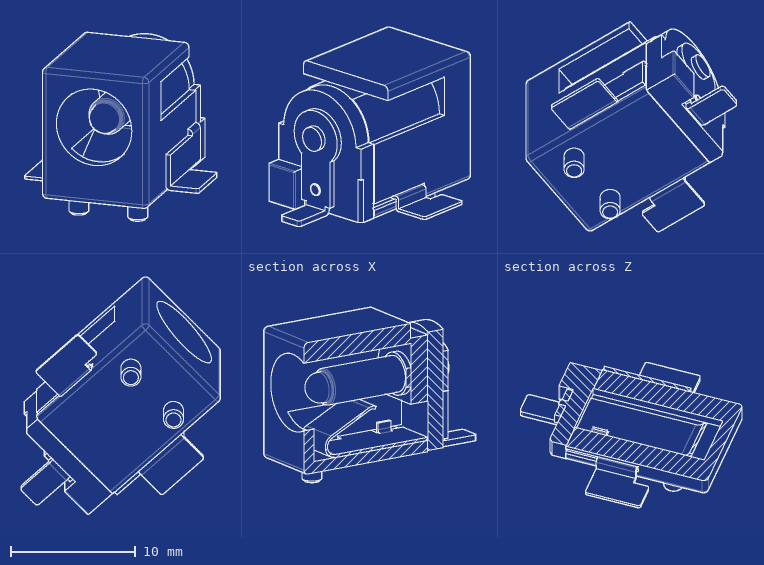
import cadquery as cq
import math


housing_width = 9.0
housing_height = 11.0
housing_length = 11.97
edge_radius = 0.41
half_width = housing_width / 2
top_step_y = 10.31
barrel_radius = 3.95
barrel_top_z = 9.78
side_relief_y = 3.42

axis_z = 6.5
bore_diameter = 6.4
bore_end_y = 10.35
channel_half_width = 2.24
channel_start_y = 1.01
channel_top_z = 4.22

peg_diameter = 1.6
peg_length = 2.0
peg_chamfer = 0.2
peg_x = 2.5
peg_y = 3.5

cap_inset = 0.1
cap_thickness = 1.49
cap_rear_y = housing_length + cap_thickness
cap_half_width = half_width - cap_inset
cap_chamfer = 0.3
cap_chamfer_top_z = 3.81
block_inner_x = 1.6
block_depth = 1.23
block_top_z = 3.39
block_edge_radius = 0.1
stud_diameter = 1.0
stud_z = 2.05
stud_projection = 0.12
stud_chamfer = 0.05

pin_tip_y = 1.4
dome_diameter = 2.5
shaft_diameter = 3.0
shaft_start_y = 3.0
shaft_edge_radius = 0.1
shaft_root_radius = 0.07
flange_diameter = 3.5
flange_thickness = 0.5
shank_diameter = 2.0
shank_end_y = 14.4

plate_thickness = 0.5
plate_disc_radius = 2.29
plate_arm_half_width = 1.52
plate_arm_bottom_z = 0.82
plate_bend_radius = 0.41
plate_rear_y = cap_rear_y + plate_thickness
tail_half_width = 1.01
tail_end_y = 17.1
tail_corner_radius = 0.25

spring_thickness = 0.25
spring_tab_x = -7.52
spring_tab_front_y = 4.62
spring_tab_notch_x = -5.23
spring_web_front_y = 5.97
spring_web_rear_y = 9.3
spring_base_z = 1.0
spring_base_rear_y = 11.94
spring_left_x = -1.97
spring_right_x = 1.55
tab_corner_radius = 0.2
loop_y = 3.03
loop_radius = 0.97
ramp_angle = math.radians(25.6)
crest_radius = 0.85
crest_top_z = 4.69
ear_front_y = 9.37
ear_rear_y = 10.6
ear_top_z = 2.05
ear_bend_radius = 0.51

spring_slot_front_y = 5.83
spring_slot_top_z = 1.39
spring_slot_chamfer = 0.17

switch_thickness = 0.4
switch_tab_x = 7.27
switch_tab_z = 0.3
switch_front_y = 4.58
switch_tab_rear_y = 9.27
switch_arm_front_y = 10.02
switch_rear_y = 11.94
switch_web_top_z = 3.3
switch_arm_z = 3.42

quarter_arc_mid = math.sqrt(0.5)


def box(x, y, z):
    """Box spanning the given (low, high) ranges."""
    size = (x[1] - x[0], y[1] - y[0], z[1] - z[0])
    return cq.Workplane("XY").box(*size, centered=False).translate((x[0], y[0], z[0]))


def cylinder_y(radius, y_start, y_end, z=axis_z):
    """Cylinder along Y on the x = 0 plane."""
    return cq.Workplane("XZ", origin=(0, y_start, z)).circle(radius).extrude(y_start - y_end)


def terminal_strip(side, tab_x, tab_z, thickness, arm_z, arm_end_x, y_range):
    """Strip bent from a flat tab up the housing wall and inward; side is -1 or +1."""
    wall_x = side * half_width
    web_x = side * (half_width + thickness)
    offset = thickness * quarter_arc_mid
    lower_mid = (web_x - side * offset, tab_z + thickness - offset)
    upper_mid = (wall_x + side * offset, arm_z + offset)
    return (
        cq.Workplane("XZ", origin=(0, y_range[0], 0))
        .moveTo(tab_x, tab_z)
        .lineTo(web_x, tab_z)
        .threePointArc(lower_mid, (wall_x, tab_z + thickness))
        .lineTo(wall_x, arm_z)
        .lineTo(arm_end_x, arm_z)
        .lineTo(arm_end_x, arm_z + thickness)
        .lineTo(wall_x, arm_z + thickness)
        .threePointArc(upper_mid, (web_x, arm_z))
        .lineTo(web_x, tab_z + thickness)
        .lineTo(tab_x, tab_z + thickness)
        .close()
        .extrude(y_range[0] - y_range[1])
    )


def make_housing():
    body = box((-half_width, half_width), (0, housing_length), (0, housing_height))
    body = body.edges("|Y or <Y").fillet(edge_radius)

    barrel = cylinder_y(barrel_radius, 0, housing_length)
    relief = box(
        (-half_width, half_width), (side_relief_y, housing_length), (axis_z, barrel_top_z)
    ).cut(barrel)
    top_step = box(
        (-half_width, half_width), (top_step_y, housing_length), (barrel_top_z, housing_height)
    )
    body = body.cut(relief).cut(top_step)

    body = body.cut(cylinder_y(bore_diameter / 2, 0, bore_end_y))
    channel = box(
        (-channel_half_width, channel_half_width),
        (channel_start_y, housing_length),
        (spring_base_z, channel_top_z),
    )
    body = body.cut(channel)
    body = body.cut(cylinder_y(shank_diameter / 2, bore_end_y, housing_length))

    spring_slot = (
        cq.Workplane("XZ", origin=(0, spring_slot_front_y, 0))
        .moveTo(-half_width, spring_base_z - spring_slot_chamfer)
        .lineTo(-half_width + spring_slot_chamfer, spring_base_z)
        .lineTo(-channel_half_width, spring_base_z)
        .lineTo(-channel_half_width, spring_slot_top_z)
        .lineTo(-half_width, spring_slot_top_z)
        .close()
        .extrude(spring_slot_front_y - housing_length)
    )
    switch_slot = box(
        (channel_half_width, half_width),
        (switch_arm_front_y, housing_length),
        (switch_arm_z, switch_arm_z + switch_thickness),
    )
    body = body.cut(spring_slot).cut(switch_slot)

    for x in (-peg_x, peg_x):
        peg = (
            cq.Workplane("XY", origin=(x, peg_y, 0))
            .circle(peg_diameter / 2)
            .extrude(-peg_length)
            .faces("<Z")
            .chamfer(peg_chamfer)
        )
        body = body.union(peg)
    return body


def make_cap():
    body = box((-cap_half_width, cap_half_width), (housing_length, cap_rear_y), (cap_inset, axis_z))
    body = body.union(cylinder_y(barrel_radius - cap_inset, housing_length, cap_rear_y))

    corner_cut = (
        cq.Workplane("XY", origin=(0, 0, cap_inset))
        .moveTo(-cap_half_width, cap_rear_y)
        .lineTo(-cap_half_width + cap_chamfer, cap_rear_y)
        .lineTo(-cap_half_width, cap_rear_y - cap_chamfer)
        .close()
        .extrude(cap_chamfer_top_z - cap_inset)
    )
    body = body.cut(corner_cut)

    block = box(
        (block_inner_x, cap_half_width),
        (cap_rear_y, cap_rear_y + block_depth),
        (cap_inset, block_top_z),
    )
    block = block.faces(">Y").edges().fillet(block_edge_radius)
    stud = cylinder_y(stud_diameter / 2, cap_rear_y, plate_rear_y + stud_projection, stud_z)
    stud = stud.faces(">Y").chamfer(stud_chamfer)
    body = body.union(block).union(stud)
    return body.cut(cylinder_y(shank_diameter / 2, housing_length, cap_rear_y))


def make_center_pin():
    dome_radius = dome_diameter / 2
    shaft_radius = shaft_diameter / 2
    flange_y = bore_end_y - flange_thickness
    dome_center_y = pin_tip_y + dome_radius
    dome_mid = (dome_radius * quarter_arc_mid, dome_center_y - dome_radius * quarter_arc_mid)
    root_mid = (
        dome_radius + shaft_root_radius * (1 - quarter_arc_mid),
        shaft_start_y - shaft_root_radius * (1 - quarter_arc_mid),
    )
    edge_mid = (
        shaft_radius - shaft_edge_radius * (1 - quarter_arc_mid),
        shaft_start_y + shaft_edge_radius * (1 - quarter_arc_mid),
    )
    profile = (
        cq.Workplane("XY")
        .moveTo(0, pin_tip_y)
        .threePointArc(dome_mid, (dome_radius, dome_center_y))
        .lineTo(dome_radius, shaft_start_y - shaft_root_radius)
        .threePointArc(root_mid, (dome_radius + shaft_root_radius, shaft_start_y))
        .lineTo(shaft_radius - shaft_edge_radius, shaft_start_y)
        .threePointArc(edge_mid, (shaft_radius, shaft_start_y + shaft_edge_radius))
        .lineTo(shaft_radius, flange_y)
        .lineTo(flange_diameter / 2, flange_y)
        .lineTo(flange_diameter / 2, bore_end_y)
        .lineTo(shank_diameter / 2, bore_end_y)
        .lineTo(shank_diameter / 2, shank_end_y)
        .lineTo(0, shank_end_y)
        .close()
    )
    return profile.revolve(360, (0, 0, 0), (0, 1, 0)).translate((0, 0, axis_z))


def make_tail_plate():
    plate = cylinder_y(plate_disc_radius, cap_rear_y, plate_rear_y)
    arm = box(
        (-plate_arm_half_width, plate_arm_half_width),
        (cap_rear_y, plate_rear_y),
        (plate_arm_bottom_z, axis_z),
    )
    bend = box((-tail_half_width, tail_half_width), (cap_rear_y, plate_rear_y), (0, plate_arm_bottom_z))
    bend = bend.edges("|X and <Y and <Z").fillet(plate_bend_radius)
    tail = box((-tail_half_width, tail_half_width), (plate_rear_y, tail_end_y), (0, plate_thickness))
    tail = tail.edges("|Z and >Y").fillet(tail_corner_radius)
    plate = plate.union(arm).union(bend).union(tail)
    plate = plate.cut(cylinder_y(shank_diameter / 2, cap_rear_y, plate_rear_y))
    return plate.cut(cylinder_y(stud_diameter / 2, cap_rear_y, plate_rear_y, stud_z))


def make_spring_blade():
    """Base strip looped back at the front into a ramp with a rounded crest."""
    sine = math.sin(ramp_angle)
    cosine = math.cos(ramp_angle)
    loop_z = spring_base_z + loop_radius
    loop_inner_radius = loop_radius - spring_thickness
    crest_inner_radius = crest_radius - spring_thickness
    crest_z = crest_top_z - crest_radius
    ramp_start_y = loop_y - loop_radius * sine
    ramp_start_z = loop_z + loop_radius * cosine
    ramp_end_z = crest_z + crest_radius * cosine
    ramp_end_y = ramp_start_y + (ramp_end_z - ramp_start_z) / math.tan(ramp_angle)
    crest_y = ramp_end_y + crest_radius * sine

    def crest_point(radius, direction):
        return (crest_y + direction * radius * sine, crest_z + radius * cosine)

    def loop_end(radius):
        return (loop_y - radius * sine, loop_z + radius * cosine)

    return (
        cq.Workplane("YZ", origin=(spring_left_x, 0, 0))
        .moveTo(spring_base_rear_y, spring_base_z)
        .lineTo(loop_y, spring_base_z)
        .threePointArc((loop_y - loop_radius, loop_z), loop_end(loop_radius))
        .lineTo(*crest_point(crest_radius, -1))
        .threePointArc((crest_y, crest_top_z), crest_point(crest_radius, 1))
        .lineTo(*crest_point(crest_inner_radius, 1))
        .threePointArc((crest_y, crest_top_z - spring_thickness), crest_point(crest_inner_radius, -1))
        .lineTo(*loop_end(loop_inner_radius))
        .threePointArc(
            (loop_y - loop_inner_radius, loop_z), (loop_y, spring_base_z + spring_thickness)
        )
        .lineTo(spring_base_rear_y, spring_base_z + spring_thickness)
        .close()
        .extrude(spring_right_x - spring_left_x)
    )


def make_spring_contact():
    strip = terminal_strip(
        -1,
        spring_tab_x,
        0,
        spring_thickness,
        spring_base_z,
        spring_left_x,
        (spring_web_front_y, spring_web_rear_y),
    )
    tab_front = box(
        (spring_tab_x, spring_tab_notch_x),
        (spring_tab_front_y, spring_web_front_y),
        (0, spring_thickness),
    )
    tab_front = tab_front.edges("|Z and <Y").fillet(tab_corner_radius)
    strip = strip.edges("|Z and <X and >Y").fillet(tab_corner_radius).union(tab_front)

    bend_slant = ear_bend_radius * quarter_arc_mid
    bend_center = (spring_left_x + ear_bend_radius, spring_base_z + ear_bend_radius)
    inner_radius = ear_bend_radius - spring_thickness
    inner_slant = inner_radius * quarter_arc_mid
    bend_mid = (bend_center[0] - bend_slant, bend_center[1] - bend_slant)
    inner_mid = (bend_center[0] - inner_slant, bend_center[1] - inner_slant)
    ear = (
        cq.Workplane("XZ", origin=(0, ear_front_y, 0))
        .moveTo(bend_center[0], spring_base_z)
        .threePointArc(bend_mid, (spring_left_x, bend_center[1]))
        .lineTo(spring_left_x, ear_top_z)
        .lineTo(spring_left_x + spring_thickness, ear_top_z)
        .lineTo(spring_left_x + spring_thickness, bend_center[1])
        .threePointArc(inner_mid, (bend_center[0], spring_base_z + spring_thickness))
        .close()
        .extrude(ear_front_y - ear_rear_y)
    )
    ear_clearance = box(
        (spring_left_x, bend_center[0]), (ear_front_y, ear_rear_y), (spring_base_z, ear_top_z)
    )
    return make_spring_blade().cut(ear_clearance).union(ear).union(strip)


def make_switch_contact():
    strip = terminal_strip(
        1,
        switch_tab_x,
        switch_tab_z,
        switch_thickness,
        switch_arm_z,
        channel_half_width,
        (switch_front_y, switch_rear_y),
    )
    web_x = half_width + switch_thickness
    above_web = box(
        (channel_half_width, web_x),
        (switch_front_y, switch_arm_front_y),
        (switch_web_top_z, switch_arm_z + switch_thickness),
    )
    behind_tab = box(
        (half_width, switch_tab_x),
        (switch_tab_rear_y, switch_rear_y),
        (switch_tab_z, switch_tab_z + switch_thickness),
    )
    strip = strip.cut(above_web).cut(behind_tab)
    return strip.edges("|Z and >X").fillet(tab_corner_radius)


housing = make_housing()
cap = make_cap()
center_pin = make_center_pin()
tail_plate = make_tail_plate()
spring_contact = make_spring_contact()
switch_contact = make_switch_contact()

bodies = [housing, cap, center_pin, tail_plate, spring_contact, switch_contact]
result = cq.Compound.makeCompound([body.solids().val() for body in bodies])